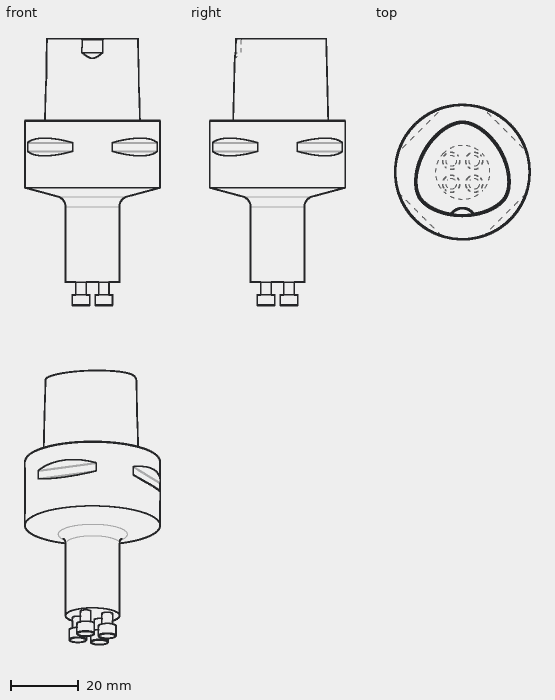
import cadquery as cq
import math


shank_length = 24.0
shank_mean_diameter = 28.1
lobe_eccentricity = 0.95
taper_ratio = 1 / 20
section_points = 72

notch_diameter = 7.65
notch_wall_depth = 4.1
notch_tip_angle = 95
notch_inner_y = -10.8
notch_chamfer = 0.3

flange_diameter = 40.0
flange_height = 20.0
flange_chamfer = 0.3
neck_diameter = 16.0
neck_end_z = -47.8
cone_slope = 15
neck_fillet = 3.0

groove_count = 4
groove_start_angle = 45
groove_z = -7.95
groove_floor_height = 2.5
groove_floor_distance = 17.65
groove_flank_angle = 30
groove_floor_fillet = 0.3

screw_offset = 3.4
screw_shaft_diameter = 3.15
screw_head_diameter = 5.2
screw_head_height = 3.15
screw_head_chamfer = 0.15
screw_end_z = shank_length - 78.8

flange_radius = flange_diameter / 2
neck_radius = neck_diameter / 2


def lobed_section(mean_diameter, z):
    """Closed three-lobed wire with a lobe on +Y and a flat side on -Y."""

    def point(t):
        angle = 2 * math.pi * t
        e = lobe_eccentricity
        along = (mean_diameter / 2 * math.cos(angle)
                 - 2 * e * math.cos(2 * angle) + e * math.cos(4 * angle))
        across = (mean_diameter / 2 * math.sin(angle)
                  + 2 * e * math.sin(2 * angle) + e * math.sin(4 * angle))
        return cq.Vector(across, -along, z)

    points = [point(i / section_points) for i in range(section_points)]
    return cq.Wire.assembleEdges([cq.Edge.makeSpline(points, periodic=True)])


def tapered_shank():
    tip_diameter = shank_mean_diameter - taper_ratio * shank_length
    base = lobed_section(shank_mean_diameter, 0)
    tip = lobed_section(tip_diameter, shank_length)
    return cq.Workplane(obj=cq.Solid.makeLoft([base, tip], True))


def notch_cutter():
    """Drill shape: a cylinder ending in a cone, flared at the top to chamfer the rim."""
    radius = notch_diameter / 2
    shoulder_z = shank_length - notch_wall_depth
    tip_depth = radius / math.tan(math.radians(notch_tip_angle / 2))
    return (
        cq.Workplane("XZ")
        .moveTo(0, shank_length)
        .lineTo(radius + notch_chamfer, shank_length)
        .lineTo(radius, shank_length - notch_chamfer)
        .lineTo(radius, shoulder_z)
        .lineTo(0, shoulder_z - tip_depth)
        .close()
        .revolve(360, (0, 0), (0, 1))
        .translate((0, notch_inner_y - radius, 0))
    )


def flange_and_neck():
    """Revolved body; the fillet is tangent to the cone and the neck."""
    slope = math.radians(cone_slope)
    arc_start_r = neck_radius + neck_fillet * (1 - math.sin(slope))
    arc_start_z = -flange_height - (flange_radius - arc_start_r) * math.tan(slope)
    center_r = neck_radius + neck_fillet
    center_z = arc_start_z - neck_fillet * math.cos(slope)
    middle_angle = math.radians(180 - (90 - cone_slope) / 2)
    arc_middle = (
        center_r + neck_fillet * math.cos(middle_angle),
        center_z + neck_fillet * math.sin(middle_angle),
    )
    return (
        cq.Workplane("XZ")
        .lineTo(flange_radius - flange_chamfer, 0)
        .lineTo(flange_radius, -flange_chamfer)
        .lineTo(flange_radius, -flange_height)
        .lineTo(arc_start_r, arc_start_z)
        .threePointArc(arc_middle, (neck_radius, center_z))
        .lineTo(neck_radius, neck_end_z)
        .lineTo(0, neck_end_z)
        .close()
        .revolve(360, (0, 0), (0, 1))
    )


def groove_cutter(angle):
    """Straight groove with flared flanks and rounded floor corners, turned about Z by an angle."""
    half_floor = groove_floor_height / 2
    depth = flange_radius - groove_floor_distance
    half_mouth = half_floor + depth * math.tan(math.radians(groove_flank_angle))
    return (
        cq.Workplane("XZ")
        .moveTo(groove_floor_distance, groove_z - half_floor)
        .lineTo(flange_radius, groove_z - half_mouth)
        .lineTo(flange_radius, groove_z + half_mouth)
        .lineTo(groove_floor_distance, groove_z + half_floor)
        .close()
        .extrude(flange_radius, both=True)
        .faces("<X")
        .edges("|Y")
        .fillet(groove_floor_fillet)
        .rotate((0, 0, 0), (0, 0, 1), angle)
    )


def screw(x, y):
    """Screw shaft with a wider head, its lower rim chamfered."""
    shaft = (
        cq.Workplane("XY", origin=(x, y, screw_end_z))
        .circle(screw_shaft_diameter / 2)
        .extrude(neck_end_z - screw_end_z)
    )
    head = (
        cq.Workplane("XY", origin=(x, y, screw_end_z))
        .circle(screw_head_diameter / 2)
        .extrude(screw_head_height)
        .faces("<Z")
        .chamfer(screw_head_chamfer)
    )
    return shaft.union(head)


body = flange_and_neck().union(tapered_shank()).cut(notch_cutter())

for index in range(groove_count):
    body = body.cut(groove_cutter(groove_start_angle + index * 360 / groove_count))

for side_x in (-1, 1):
    for side_y in (-1, 1):
        body = body.union(screw(side_x * screw_offset, side_y * screw_offset))

result = body